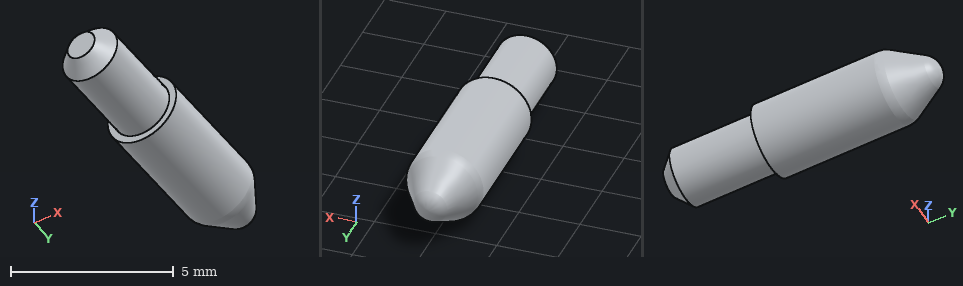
import cadquery as cq
import math

total_length = 9.5

head_diameter = 2.5
head_length = 6.0
nose_length = 1.5
nose_half_angle = 30.0
nose_round = 0.6

shank_diameter = 1.995
shank_chamfer = 0.5

tip_y = total_length / 2
step_y = tip_y - head_length
shank_end_y = -total_length / 2


def revolve_about_y(points):
    """Turn a closed half-section, given as (radius, y) points, into a solid."""
    return cq.Workplane("XY").polyline(points).close().revolve(360, (0, 0, 0), (0, 1, 0))


def make_head():
    """Cylinder with a rounded conical nose and a flat rear face."""
    head_radius = head_diameter / 2
    cone_base_y = tip_y - nose_length
    cone_tip_radius = head_radius - nose_length * math.tan(math.radians(nose_half_angle))
    body = revolve_about_y([
        (0, step_y),
        (head_radius, step_y),
        (head_radius, cone_base_y),
        (cone_tip_radius, tip_y),
        (0, tip_y),
    ])
    return body.faces("%CONE").edges("%CIRCLE").fillet(nose_round).solids()


def make_shank():
    """Thinner cylinder that butts against the head and has a chamfered free end."""
    shank_radius = shank_diameter / 2
    return revolve_about_y([
        (0, shank_end_y),
        (shank_radius - shank_chamfer, shank_end_y),
        (shank_radius, shank_end_y + shank_chamfer),
        (shank_radius, step_y),
        (0, step_y),
    ])


head = make_head()
shank = make_shank()

result = cq.Compound.makeCompound([head.val(), shank.val()])